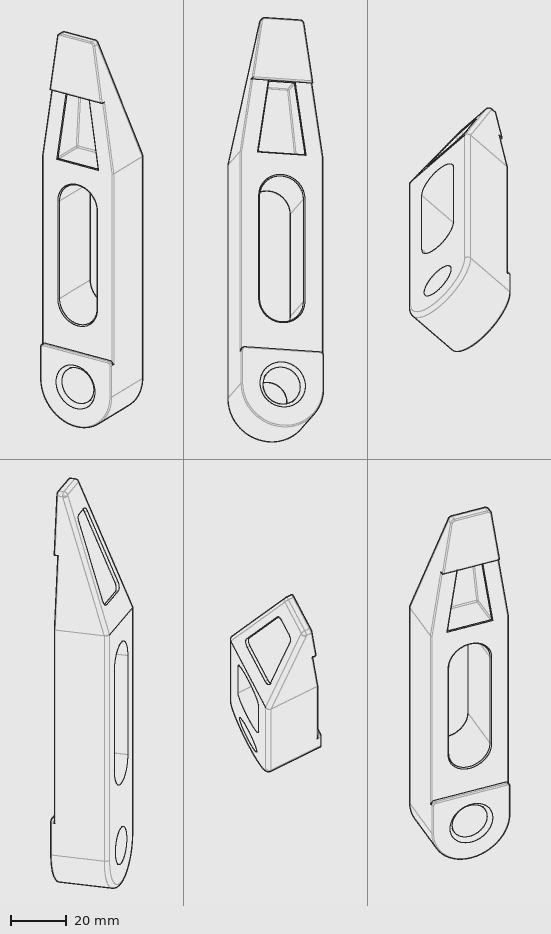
import cadquery as cq
import math

length = 152.4
width = 30.5
depth = 21.8
foot_radius = width / 2

taper_start = 102.3
tip_width = 15.5
tip_depth = 3.4
nose_length = length - taper_start
side_slope = (width - tip_width) / 2 / nose_length
back_slope = (depth - tip_depth) / nose_length
back_normal = cq.Vector(0, 1, back_slope)

relief_depth = 1.4
foot_pad_top = 29.0
nose_pad_bottom = 129.4
foot_pad_corner = 1.4

back_round = 1.5
front_round = 0.5
rim_angle = 45

slot_bottom = 39.6
slot_top = 94.0
slot_width = 16.2
slot_rim = 0.5
slot_direction = 90

hole_height = 15.7
hole_diameter = 13.7
countersink = 1.5

front_rib = 6.2
front_pocket_depth = 14.0
front_pocket_round = 0.5
front_pocket_rim = 0.3

back_rib = 4.3
back_pocket_lower_y = 18.6
back_pocket_upper_y = 6.9
back_pocket_depth = 1.2
back_pocket_corner = 2.3


def nose_half_width(z):
    """Half width of the nose at height z."""
    return width / 2 - (z - taper_start) * side_slope


def back_height(y):
    """Height at which the sloping back reaches depth y."""
    return taper_start + (depth - y) / back_slope


def extrude_back(outline, distance):
    """Extrude an XZ outline in the +Y direction."""
    return outline.extrude(-distance)


def trapezoid(plane, lower_half_width, upper_half_width, height):
    """Symmetric trapezoid standing on the plane's local X axis."""
    corners = [
        (-lower_half_width, 0),
        (lower_half_width, 0),
        (upper_half_width, height),
        (-upper_half_width, height),
    ]
    return cq.Workplane(plane).polyline(corners).close()


def slab(start_y, end_y, bottom, top):
    """Full-width block between two depths and two heights."""
    block = cq.Workplane("XY").box(width, end_y - start_y, top - bottom, centered=(True, False, False))
    return block.translate((0, start_y, bottom))


def make_body():
    front_outline = (
        cq.Workplane("XZ")
        .moveTo(-width / 2, foot_radius)
        .threePointArc((0, 0), (width / 2, foot_radius))
        .lineTo(width / 2, taper_start)
        .lineTo(tip_width / 2, length)
        .lineTo(-tip_width / 2, length)
        .lineTo(-width / 2, taper_start)
        .close()
    )
    side_outline = (
        cq.Workplane("YZ")
        .polyline([(0, 0), (depth, 0), (depth, taper_start), (tip_depth, length), (0, length)])
        .close()
    )
    body = extrude_back(front_outline, depth).intersect(side_outline.extrude(width / 2, both=True))
    return body.faces(">Z").edges("|Y").fillet(back_round)


def round_back(body):
    """Round the rim of the back and of its slope, but not the crease between the two."""
    back = body.faces(">Y")
    slope = body.faces(cq.selectors.ParallelDirSelector(back_normal))
    crease = back.edges(">Z").val()
    rim = [edge for edge in back.add(slope).edges().vals() if not edge.isSame(crease)]
    return body.newObject(rim).fillet(back_round)


def shape_front(body):
    """Relieve the front and set the foot pad and the nose pad on it, all with rounded rims."""
    front_layer = slab(0, relief_depth, 0, length)
    pads = body.intersect(front_layer)
    foot_pad = pads.intersect(slab(0, relief_depth, 0, foot_pad_top))
    foot_pad = foot_pad.edges("|Y and >Z").fillet(foot_pad_corner)
    foot_pad = foot_pad.faces("<Y").edges().fillet(front_round)
    nose_pad = pads.intersect(slab(0, relief_depth, nose_pad_bottom, length))
    nose_pad = nose_pad.faces("<Y").edges().fillet(front_round)

    relief_bottom = foot_pad_top - foot_pad_corner
    core = body.cut(slab(0, relief_depth, relief_bottom, nose_pad_bottom))
    relief_face = core.faces(cq.selectors.NearestToPointSelector((0, relief_depth, length / 2)))
    core = relief_face.edges("not |X").fillet(front_round)
    core = core.cut(front_layer)

    return core.union(foot_pad).union(nose_pad)


def cut_slot(body):
    slot_length = slot_top - slot_bottom
    plane = cq.Workplane("XZ", origin=(0, relief_depth, (slot_top + slot_bottom) / 2))
    slot = extrude_back(plane.slot2D(slot_length, slot_width, slot_direction), depth)
    rim = plane.slot2D(slot_length + 2 * slot_rim, slot_width + 2 * slot_rim, slot_direction)
    return body.cut(slot).cut(rim.extrude(-slot_rim, taper=rim_angle))


def cut_hole(body):
    axis = cq.Workplane("XZ").center(0, hole_height)
    hole = extrude_back(axis.circle(hole_diameter / 2), depth)
    cone = axis.circle(hole_diameter / 2 + countersink).extrude(-countersink, taper=rim_angle)
    return body.cut(hole).cut(cone)


def cut_front_pocket(body):
    """Pocket that gets shallower upward at the same rate as the nose narrows."""
    height = nose_pad_bottom - taper_start
    lower_half_width = nose_half_width(taper_start) - front_rib
    upper_half_width = nose_half_width(nose_pad_bottom) - front_rib
    plane = cq.Plane(origin=(0, relief_depth, taper_start), xDir=(1, 0, 0), normal=(0, -1, 0))
    outline = trapezoid(plane, lower_half_width, upper_half_width, height)
    inner_outline = outline.offset2D(-front_pocket_rim, "intersection")

    upper_depth = front_pocket_depth - height * side_slope
    side_outline = (
        cq.Workplane("YZ", origin=(0, 0, taper_start))
        .polyline([(0, 0), (front_pocket_depth, 0), (upper_depth, height), (0, height)])
        .close()
    )
    pocket = extrude_back(inner_outline, depth).intersect(side_outline.extrude(width / 2, both=True))
    pocket = pocket.edges("not <Y").fillet(front_pocket_round)

    rim = trapezoid(plane, lower_half_width, upper_half_width, height)
    rim = rim.extrude(-front_pocket_rim, taper=rim_angle)
    return body.cut(pocket).cut(rim)


def cut_back_pocket(body):
    lower_end = back_height(back_pocket_lower_y)
    upper_end = back_height(back_pocket_upper_y)
    plane = cq.Plane(origin=(0, back_pocket_lower_y, lower_end), xDir=(-1, 0, 0), normal=back_normal)
    pocket = trapezoid(
        plane,
        nose_half_width(lower_end) - back_rib,
        nose_half_width(upper_end) - back_rib,
        math.hypot(upper_end - lower_end, back_pocket_lower_y - back_pocket_upper_y),
    ).extrude(-back_pocket_depth)
    pocket = pocket.edges(cq.selectors.ParallelDirSelector(back_normal)).fillet(back_pocket_corner)
    return body.cut(pocket)


result = round_back(make_body())
result = shape_front(result)
result = cut_slot(result)
result = cut_hole(result)
result = cut_front_pocket(result)
result = cut_back_pocket(result)